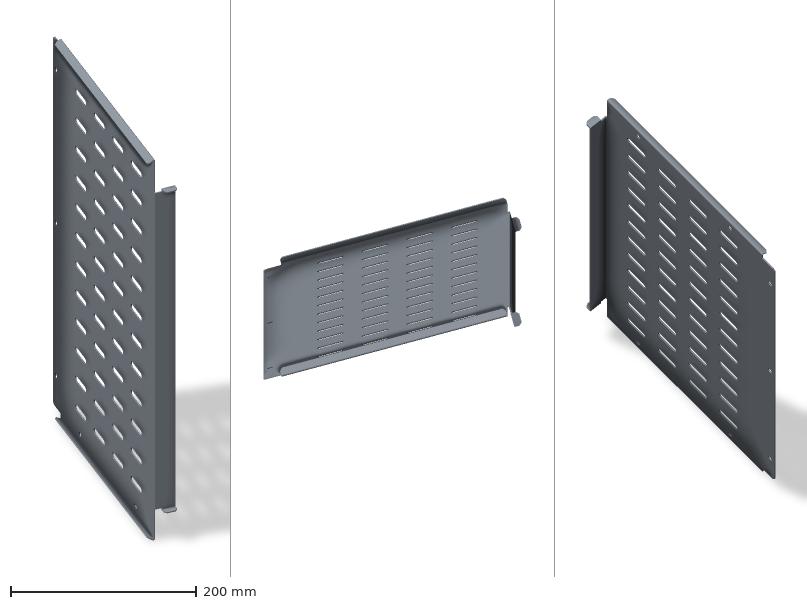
import cadquery as cq
import math

sheet = 1.5
height = 497.2
width = 283.5

strip_width = 20.0
strip_height = 481.0
strip_chamfer = 3.0
panel_right = 273.0
panel_width = panel_right - strip_width

lip_depth = 7.66
lip_slope = 30.0
lip_corner = 3.0
lip_bend_inner = 0.2
lip_bend_outer = lip_bend_inner + sheet

flange_outer = 276.0
flange_back = 24.0
flange_height = 420.0
flange_bend = 0.2
relief_height = 3.3
relief_depth = 8.5
tab_depth = flange_back - relief_depth
tab_corner = 3.0

slot_columns = 4
slot_rows = 12
slot_pitch_x = 50.0
slot_pitch_z = 37.5
slot_length = 30.0
slot_height = 8.0
slot_first_x = 75.0
slot_center_x = slot_first_x + slot_pitch_x * (slot_columns - 1) / 2

hole_diameter = 6.5
strip_hole_x = 7.5
strip_hole_pitch = 200.0
strip_hole_rows = (-1, 0, 1)
edge_hole_first_x = 72.5
edge_hole_pitch = 150.0
edge_hole_z = 236.0
edge_hole_columns = 2


def box(x_min, x_max, y_min, y_max, z_min, z_max):
    """Axis-aligned block between the given limits."""
    size = (x_max - x_min, y_max - y_min, z_max - z_min)
    return cq.Workplane("XY").box(*size, centered=False).translate((x_min, y_min, z_min))


def make_panel():
    """Flat sheet: narrow mounting strip on the left and the full-height field beside it."""
    strip = box(0, strip_width, 0, sheet, -strip_height / 2, strip_height / 2)
    strip = strip.edges("|Y and <X").chamfer(strip_chamfer)
    field_half = height / 2 - lip_bend_outer
    field = box(strip_width, panel_right, 0, sheet, -field_half, field_half)
    return strip.union(field)


def make_lip():
    """Top lip: bent forward from the panel and sloping down towards the panel's middle."""
    slope = math.radians(lip_slope)
    bend_y = sheet - lip_bend_outer
    bend_z = height / 2 - lip_bend_outer
    sweep = math.pi / 2 + slope

    def on_bend(radius, turn):
        """Point on the bend, turned by an angle from the back face of the panel."""
        return bend_y + radius * math.cos(turn), bend_z + radius * math.sin(turn)

    bend_end_y, bend_end_z = on_bend(lip_bend_outer, sweep)
    tip_outer = (-lip_depth, bend_end_z - (bend_end_y + lip_depth) * math.tan(slope))
    tip_inner = (tip_outer[0] + sheet * math.sin(slope), tip_outer[1] - sheet * math.cos(slope))
    lip = (
        cq.Workplane("YZ", origin=(strip_width, 0, 0))
        .moveTo(*on_bend(lip_bend_outer, 0))
        .threePointArc(on_bend(lip_bend_outer, sweep / 2), (bend_end_y, bend_end_z))
        .lineTo(*tip_outer)
        .lineTo(*tip_inner)
        .lineTo(*on_bend(lip_bend_inner, sweep))
        .threePointArc(on_bend(lip_bend_inner, sweep / 2), on_bend(lip_bend_inner, 0))
        .close()
        .extrude(panel_width)
    )
    return lip.cut(make_lip_corner(strip_width, 1)).cut(make_lip_corner(panel_right, -1))


def make_lip_corner(end_x, direction):
    """Wedge that bevels one front corner of the lip; direction points into the lip."""
    return (
        cq.Workplane("XY")
        .moveTo(end_x, -lip_depth)
        .lineTo(end_x + direction * lip_corner, -lip_depth)
        .lineTo(end_x, -lip_depth + lip_corner)
        .close()
        .extrude(height)
    )


def make_flange():
    """Return flange bent backward along the right edge, relieved next to the panel."""
    bend_half = flange_height / 2 - relief_height
    flange_inner = flange_outer - sheet
    root = box(strip_width, flange_outer, 0, sheet, -bend_half, bend_half)
    web = box(flange_inner, flange_outer, 0, flange_back, -bend_half, bend_half)
    bent = root.union(web).edges("|Z and >X and <Y").fillet(flange_bend)
    leaf_half = flange_height / 2
    leaf = box(flange_inner, flange_outer, relief_depth, flange_back, -leaf_half, leaf_half)
    return bent.union(leaf)


def make_tab():
    """Tab folded outward from the top end of the flange, with bevelled free corners."""
    top = flange_height / 2
    tab = box(flange_outer - sheet, width, flange_back - tab_depth, flange_back, top - sheet, top)
    return tab.edges("|Z and >X").chamfer(tab_corner)


def make_slots():
    """Grid of horizontal obround ventilation slots."""
    return (
        cq.Workplane("XZ", origin=(slot_center_x, 0, 0))
        .rarray(slot_pitch_x, slot_pitch_z, slot_columns, slot_rows)
        .slot2D(slot_length, slot_height)
        .extrude(-sheet)
    )


def make_holes():
    """Fixing holes: three on the mounting strip, two near each lip."""
    places = [(strip_hole_x, row * strip_hole_pitch) for row in strip_hole_rows]
    for side in (-1, 1):
        for column in range(edge_hole_columns):
            places.append((edge_hole_first_x + column * edge_hole_pitch, side * edge_hole_z))
    return cq.Workplane("XZ").pushPoints(places).circle(hole_diameter / 2).extrude(-sheet)


def with_mirror(half):
    """The shape together with its mirror image about the mid-height plane."""
    return half.union(half.mirror("XY"))


result = (
    make_panel()
    .union(with_mirror(make_lip()))
    .union(make_flange())
    .union(with_mirror(make_tab()))
    .cut(make_slots())
    .cut(make_holes())
    .clean()
)